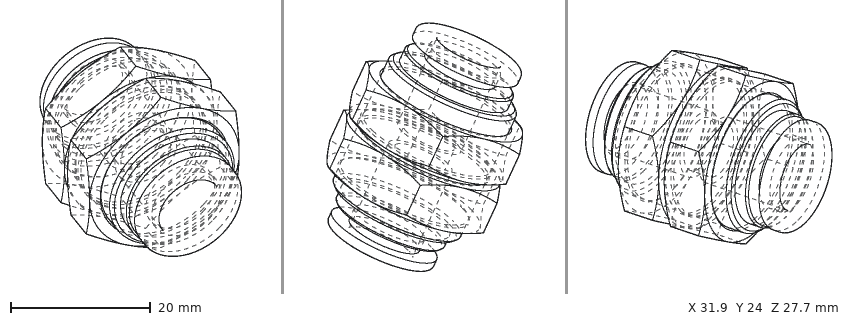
import cadquery as cq
import math


half_length = 15.95
flange_width = 1.55
flange_radius = 8.3
flange_round = 0.5
neck_radius = 5.52
neck_end = half_length - 3.45
shoulder_radius = 8.52
shoulder_chamfer = 0.32
barrel_radius = 10.02
barrel_half_length = 10.37
barrel_chamfer = 0.5

tube_radius = 4.98
mouth_round = 0.5
passage_radius = 4.0
tube_stop_half_width = 1.6

nut_width_across_corners = 27.72
nut_thickness = 7.02
nut_gap = 0.95
nut_chamfer_angle = 30.0
nut_countersink = 0.3


def cylinder(radius, start, length):
    """Cylinder on the X axis, from x = start."""
    return cq.Workplane("YZ", origin=(start, 0, 0)).circle(radius).extrude(length)


def make_fitting():
    """Stepped body with a release flange at each end and a passage all the way through."""
    barrel = cylinder(barrel_radius, -barrel_half_length, 2 * barrel_half_length)
    barrel = barrel.faces("<X or >X").chamfer(barrel_chamfer)

    shoulder = cylinder(shoulder_radius, -neck_end, 2 * neck_end)
    shoulder = shoulder.faces("<X or >X").chamfer(shoulder_chamfer)

    neck = cylinder(neck_radius, -half_length, 2 * half_length)
    body = barrel.union(shoulder).union(neck)

    for start in (-half_length, half_length - flange_width):
        body = body.union(cylinder(flange_radius, start, flange_width))
    body = body.faces("<X or >X").edges().fillet(flange_round)

    body = body.cut(cylinder(passage_radius, -half_length, 2 * half_length))
    tube_depth = half_length - tube_stop_half_width
    for start in (-half_length, tube_stop_half_width):
        body = body.cut(cylinder(tube_radius, start, tube_depth))
    mouth_edges = cq.selectors.RadiusNthSelector(0)
    return body.faces("<X or >X").edges(mouth_edges).fillet(mouth_round)


def make_nut(start):
    """Hexagon nut from x = start, with a corner on +Z and both faces chamfered."""
    corner_radius = nut_width_across_corners / 2
    face_radius = corner_radius * math.sqrt(3) / 2
    chamfer_width = corner_radius - face_radius
    chamfer_depth = chamfer_width * math.tan(math.radians(nut_chamfer_angle))

    hexagon = (
        cq.Workplane("YZ", origin=(start, 0, 0))
        .transformed(rotate=(0, 0, 90))
        .polygon(6, nut_width_across_corners)
        .extrude(nut_thickness)
    )
    end = start + nut_thickness
    envelope = (
        cq.Workplane("XY")
        .moveTo(start, 0)
        .lineTo(start, face_radius)
        .lineTo(start + chamfer_depth, corner_radius)
        .lineTo(end - chamfer_depth, corner_radius)
        .lineTo(end, face_radius)
        .lineTo(end, 0)
        .close()
        .revolve(360, (0, 0, 0), (1, 0, 0))
    )
    nut = hexagon.intersect(envelope).cut(cylinder(barrel_radius, start, nut_thickness))
    hole_edges = cq.selectors.RadiusNthSelector(0)
    return nut.faces("<X or >X").edges(hole_edges).chamfer(nut_countersink)


fitting = make_fitting()
nut_starts = (-nut_gap / 2 - nut_thickness, nut_gap / 2)
nuts = [make_nut(start) for start in nut_starts]

result = cq.Compound.makeCompound([fitting.val(), *[nut.val() for nut in nuts]])